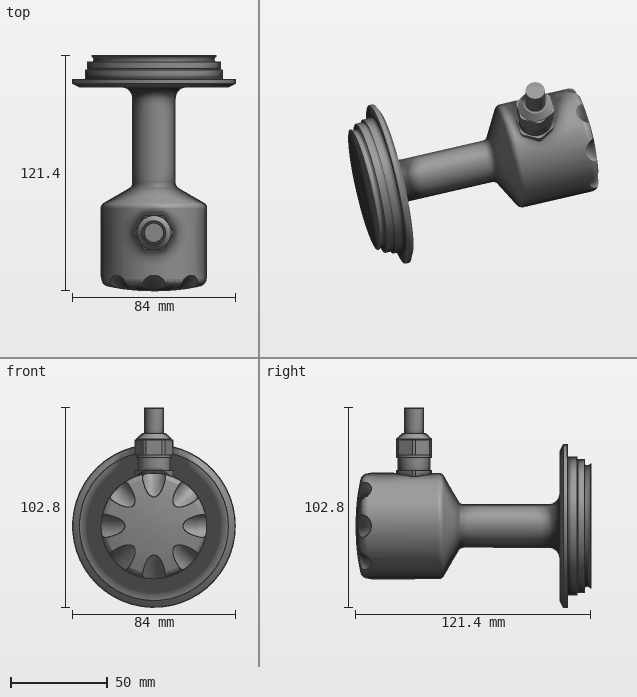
import cadquery as cq
import math

total_length = 121.4

rim_radius = 64.0 / 2
rim_edge = 0.4
groove_radius = 62.2 / 2
groove_end_radius = 63.4 / 2
groove_end = 3.4
small_step_radius = 68.5 / 2
small_step_land_end = 6.7
relief_radius = 68.0 / 2
small_step_end = 7.4
large_step_radius = 71.0 / 2
large_step_end = 12.3
flange_radius = 84.0 / 2
flange_edge_end = 14.3
flange_face_radius = 77.0 / 2
flange_face = 16.1

neck_radius = 22.0 / 2
neck_root_fillet = 5.8
housing_radius = 54.5 / 2
cone_angle = 60.0
cone_end = 77.1
cone_start = cone_end - (housing_radius - neck_radius) / math.tan(math.radians(cone_angle))
cone_fillet = 3.0

dome_height = 3.2
dome_edge = total_length - dome_height
cap_fillet = 3.4

scallop_count = 8
scallop_radius = 7.0
scallop_tilt = 30.0
scallop_floor_depth = 113.4
scallop_length = 36.4

gland_depth = 91.4
hex_across_flats = 17.8
hex_corner_diameter = 19.7
gland_body_diameter = 16.8
collar_diameter = 17.8
nut_cone_top_diameter = 12.7
nut_face_diameter = 12.0
nut_edge_bevel = (nut_cone_top_diameter - nut_face_diameter) / 2
cable_diameter = 10.0
gland_base = 18.2
lower_hex_top = 28.8
gland_body_top = 35.5
nut_hex_bottom = 36.5
nut_hex_top = 44.3
nut_cone_bottom = 44.9
nut_top = 47.7
cable_top = 60.8


def make_turned_body():
    """Flange, neck, housing and domed cap, revolved as (radius, depth) about Y."""
    profile = (
        cq.Workplane("XY")
        .lineTo(rim_radius, 0)
        .lineTo(rim_radius, -rim_edge)
        .threePointArc((groove_radius, -(rim_edge + groove_end) / 2), (groove_end_radius, -groove_end))
        .lineTo(small_step_radius, -groove_end)
        .lineTo(small_step_radius, -small_step_land_end)
        .lineTo(relief_radius, -small_step_land_end)
        .lineTo(relief_radius, -small_step_end)
        .lineTo(large_step_radius, -small_step_end)
        .lineTo(large_step_radius, -large_step_end)
        .lineTo(flange_radius, -large_step_end)
        .lineTo(flange_radius, -flange_edge_end)
        .lineTo(flange_face_radius, -flange_face)
        .lineTo(neck_radius, -flange_face)
        .lineTo(neck_radius, -cone_start)
        .lineTo(housing_radius, -cone_end)
        .lineTo(housing_radius, -dome_edge)
    )
    dome_radius = (housing_radius**2 + dome_height**2) / (2 * dome_height)
    profile = profile.radiusArc((0, -total_length), dome_radius).close()
    body = profile.revolve(360, (0, 0, 0), (0, 1, 0))
    for depth, fillet in (
        (flange_face, neck_root_fillet),
        (cone_start, cone_fillet),
        (cone_end, cone_fillet),
        (dome_edge, cap_fillet),
    ):
        radius = neck_radius if depth < cone_end else housing_radius
        body = body.edges(ring_at(radius, depth)).fillet(fillet)
    return body


def ring_at(radius, depth):
    """Select the circular edge around Y that fits the given radius at the given depth."""
    margin = 0.1
    reach = radius + margin
    return cq.selectors.BoxSelector(
        (-reach, -depth - margin, -reach),
        (reach, -depth + margin, reach),
        boundingbox=True,
    )


def make_scallop_cutter():
    """Cylinder sloping forward and inward whose lowest line meets the housing wall."""
    tilt = math.radians(scallop_tilt)
    inward = cq.Vector(0, -math.sin(tilt), -math.cos(tilt))
    wall_depth = scallop_floor_depth + scallop_radius / math.cos(tilt)
    wall_point = cq.Vector(0, -wall_depth, housing_radius)
    start = wall_point - inward * (scallop_length / 2)
    return cq.Workplane(cq.Solid.makeCylinder(scallop_radius, scallop_length, start, inward))


def gland_plane(height):
    return cq.Workplane("XY", origin=(0, -gland_depth, height))


def make_cylinder(diameter, bottom, top):
    return gland_plane(bottom).circle(diameter / 2).extrude(top - bottom)


def make_hex(bottom, top):
    """Hexagon with corners toward +/-X, turned down at its corners."""
    corner_distance = hex_across_flats / math.cos(math.radians(30))
    prism = gland_plane(bottom).polygon(6, corner_distance).extrude(top - bottom)
    return prism.intersect(make_cylinder(hex_corner_diameter, bottom, top))


def make_cone(bottom_diameter, top_diameter, bottom, top):
    return (
        gland_plane(bottom)
        .circle(bottom_diameter / 2)
        .workplane(offset=top - bottom)
        .circle(top_diameter / 2)
        .loft()
    )


def make_gland():
    bevel_bottom = nut_top - nut_edge_bevel
    return (
        make_hex(gland_base, lower_hex_top)
        .union(make_cylinder(gland_body_diameter, lower_hex_top, gland_body_top))
        .union(make_cylinder(collar_diameter, gland_body_top, nut_hex_bottom))
        .union(make_hex(nut_hex_bottom, nut_hex_top))
        .union(make_cylinder(collar_diameter, nut_hex_top, nut_cone_bottom))
        .union(make_cone(collar_diameter, nut_cone_top_diameter, nut_cone_bottom, bevel_bottom))
        .union(make_cone(nut_cone_top_diameter, nut_face_diameter, bevel_bottom, nut_top))
        .union(make_cylinder(cable_diameter, nut_cone_bottom, cable_top))
    )


result = make_turned_body()
scallop = make_scallop_cutter()
for index in range(scallop_count):
    angle = index * 360 / scallop_count
    result = result.cut(scallop.rotate((0, 0, 0), (0, 1, 0), angle))
result = result.union(make_gland())